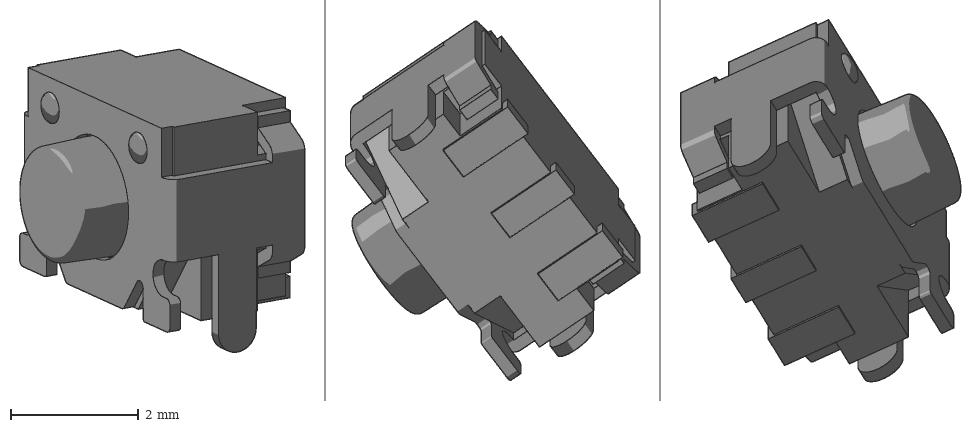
import cadquery as cq
import math


SHEET = 0.2
OVERALL_WIDTH = 4.45
OUTER_X = OVERALL_WIDTH / 2
BLOCK_X = OUTER_X - SHEET
BLOCK_BACK = 2.55
BLOCK_BOTTOM = 0.05
BLOCK_TOP = 3.3

WING_BOTTOM = 1.15
WING_TOP = 2.5
BEND_RADIUS = 0.999 * SHEET
PLATE_SHOULDER = 0.05

TAB_BACK = 2.5
TAB_DEPTH = 0.6
TAB_LOW = 1.05
TAB_HIGH = 2.6
TAB_RISE = 0.55
TAB_FACE_X = 1.795
TAB_SLOPE = math.radians(30)

POCKET_X = 1.575
POCKET_DEPTH = 0.8

LEG_WIDTH = 0.7
LEG_CENTRE_Y = 1.25
LEG_BOTTOM = -0.5

FOOT_INNER_X = 1.43
FOOT_TOP = 0.55
FOOT_FILLET = 0.1
FOOT_INNER_FILLET = 0.05
NOTCH_RADIUS = 0.1
NOTCH_TOP = 0.64
NOTCH_SLOPE = math.radians(53.6)
NOTCH_BOTTOM_FILLET = 0.1
UNDERCUT_BACK = 0.7

PAD_X_RANGES = [(-1.55, -1.0), (-0.25, 0.25), (1.0, 1.55)]
PAD_BACK = 2.65
PAD_TOP = 0.35
PAD_FRONT = 1.4

BUTTON_Z = (BLOCK_BOTTOM + BLOCK_TOP) / 2
BUTTON_HOLE_RADIUS = 1.0
BUTTON_BASE_RADIUS = 0.965
BUTTON_TIP_RADIUS = 0.93
BUTTON_REACH = 0.85
BUTTON_FILLET = 0.1

STUD_X = 1.3
STUD_Z = 2.81
STUD_RADIUS = 0.25
STUD_HEIGHT = 0.1


def block(x0, x1, y0, y1, z0, z1):
    return cq.Workplane("XY").box(x1 - x0, y1 - y0, z1 - z0, centered=False).translate((x0, y0, z0))


def xz_sketch(y):
    """XZ plane at the given Y. Its normal is -Y, so a negative extrusion runs toward +Y."""
    return cq.Workplane("XZ", origin=(0, y, 0))


def both_sides(left_half):
    return left_half.union(left_half.mirror("YZ"))


NOTCH_CENTRE_X = -FOOT_INNER_X + NOTCH_RADIUS
NOTCH_CENTRE_Z = NOTCH_TOP - NOTCH_RADIUS
NOTCH_NORMAL = (math.sin(NOTCH_SLOPE), math.cos(NOTCH_SLOPE))


def slope_x(start_x, start_z, z):
    """X at height z on a line through the start point at the notch slope."""
    return start_x + (start_z - z) / math.tan(NOTCH_SLOPE)


def notch_cut():
    """Slanted opening beside the left foot, rounded at the top."""
    arc_end = (
        NOTCH_CENTRE_X + NOTCH_RADIUS * NOTCH_NORMAL[0],
        NOTCH_CENTRE_Z + NOTCH_RADIUS * NOTCH_NORMAL[1],
    )
    return (
        xz_sketch(0)
        .moveTo(-FOOT_INNER_X, 0)
        .lineTo(-FOOT_INNER_X, NOTCH_CENTRE_Z)
        .threePointArc((NOTCH_CENTRE_X, NOTCH_TOP), arc_end)
        .lineTo(slope_x(*arc_end, 0), 0)
        .close()
        .extrude(-SHEET)
    )


def relief_cut():
    """Half-round relief between the left wing and the left foot."""
    radius = (WING_BOTTOM - FOOT_TOP) / 2
    return xz_sketch(0).center(-BLOCK_X, FOOT_TOP + radius).circle(radius).extrude(-SHEET)


def foot():
    """Left foot of the front plate."""
    return (
        block(-OUTER_X, -FOOT_INNER_X, 0, SHEET, 0, FOOT_TOP)
        .edges("|Y and <X")
        .fillet(FOOT_FILLET)
        .edges("|Y and >X and <Z")
        .fillet(FOOT_INNER_FILLET)
    )


def front_plate():
    shoulder_x = BLOCK_X - PLATE_SHOULDER
    panel = block(-BLOCK_X, BLOCK_X, 0, SHEET, BLOCK_BOTTOM, WING_TOP)
    panel = panel.cut(both_sides(notch_cut()))
    tongue_corners = cq.selectors.BoxSelector(
        (NOTCH_CENTRE_X, 0, 0), (-NOTCH_CENTRE_X, SHEET, 2 * BLOCK_BOTTOM)
    )
    panel = panel.edges("|Y").edges(tongue_corners).fillet(NOTCH_BOTTOM_FILLET)
    upper = block(-shoulder_x, shoulder_x, 0, SHEET, WING_TOP, BLOCK_TOP)
    return panel.union(upper).union(both_sides(foot())).cut(both_sides(relief_cut()))


def tab():
    """Upper left tab: bends inward off the wing, slopes up and ends in an upright lip."""
    bend_angle = math.pi / 2 - TAB_SLOPE

    def on_bend(angle):
        return -BLOCK_X - SHEET * math.cos(angle), TAB_HIGH + SHEET * math.sin(angle)

    bend_end = on_bend(bend_angle)
    lip_inner_x = TAB_FACE_X - SHEET
    outer_corner_z = bend_end[1] + (-TAB_FACE_X - bend_end[0]) * math.tan(TAB_SLOPE)
    inner_corner_z = TAB_HIGH + (BLOCK_X - lip_inner_x) * math.tan(TAB_SLOPE)
    return (
        xz_sketch(TAB_BACK - TAB_DEPTH)
        .moveTo(-OUTER_X, TAB_HIGH)
        .threePointArc(on_bend(bend_angle / 2), bend_end)
        .lineTo(-TAB_FACE_X, outer_corner_z)
        .lineTo(-TAB_FACE_X, TAB_HIGH + TAB_RISE)
        .lineTo(-lip_inner_x, TAB_HIGH + TAB_RISE)
        .lineTo(-lip_inner_x, inner_corner_z)
        .lineTo(-BLOCK_X, TAB_HIGH)
        .close()
        .extrude(-TAB_DEPTH)
    )


def wing():
    """Left wing with its bend, two tabs and mounting leg."""
    tab_front = TAB_BACK - TAB_DEPTH
    leg_radius = LEG_WIDTH / 2
    plate = block(-OUTER_X, -BLOCK_X, 0, tab_front, WING_BOTTOM, WING_TOP)
    plate = plate.edges("|Z and <X and <Y").fillet(BEND_RADIUS)
    rear = block(-OUTER_X, -BLOCK_X, tab_front, TAB_BACK, TAB_LOW, TAB_HIGH)
    upper_tab = tab()
    lower_tab = upper_tab.mirror("XY", (0, 0, (TAB_LOW + TAB_HIGH) / 2))
    leg = (
        cq.Workplane("YZ", origin=(-OUTER_X, 0, 0))
        .moveTo(LEG_CENTRE_Y - leg_radius, WING_BOTTOM)
        .lineTo(LEG_CENTRE_Y - leg_radius, LEG_BOTTOM + leg_radius)
        .threePointArc((LEG_CENTRE_Y, LEG_BOTTOM), (LEG_CENTRE_Y + leg_radius, LEG_BOTTOM + leg_radius))
        .lineTo(LEG_CENTRE_Y + leg_radius, WING_BOTTOM)
        .close()
        .extrude(SHEET)
    )
    return plate.union(rear).union(upper_tab).union(lower_tab).union(leg)


def tab_pockets():
    """Rear left block corners, open above and below, where the tabs sit."""
    pocket_front = BLOCK_BACK - POCKET_DEPTH
    upper = block(-BLOCK_X, -POCKET_X, pocket_front, BLOCK_BACK, TAB_HIGH, BLOCK_TOP)
    lower = block(-BLOCK_X, -POCKET_X, pocket_front, BLOCK_BACK, BLOCK_BOTTOM, TAB_LOW)
    return upper.union(lower)


def undercut():
    """Slanted cut under the front left of the block, parallel to the notch edge."""
    low_x = slope_x(NOTCH_CENTRE_X, NOTCH_CENTRE_Z, BLOCK_BOTTOM)
    side_z = BLOCK_BOTTOM + (low_x + BLOCK_X) * math.tan(NOTCH_SLOPE)
    corners = [(low_x, BLOCK_BOTTOM), (-BLOCK_X, side_z), (-BLOCK_X, BLOCK_BOTTOM)]
    return xz_sketch(SHEET).polyline(corners).close().extrude(SHEET - UNDERCUT_BACK)


def pad(x_range):
    """L-shaped pad wrapping the lower rear edge of the block."""
    behind = block(*x_range, BLOCK_BACK, PAD_BACK, 0, PAD_TOP)
    below = block(*x_range, PAD_FRONT, BLOCK_BACK, 0, BLOCK_BOTTOM)
    return behind.union(below)


def button_hole():
    """Round hole through the front plate, stopping at the block behind it."""
    return xz_sketch(0).center(0, BUTTON_Z).circle(BUTTON_HOLE_RADIUS).extrude(-SHEET)


def make_housing():
    body = block(-BLOCK_X, BLOCK_X, SHEET, BLOCK_BACK, BLOCK_BOTTOM, BLOCK_TOP)
    body = body.cut(both_sides(tab_pockets())).cut(both_sides(undercut()))
    body = body.union(front_plate()).union(wing()).union(wing().mirror("YZ"))
    for x_range in PAD_X_RANGES:
        body = body.union(pad(x_range))
    return body.cut(button_hole()).clean()


def make_button():
    """Tapered round button standing on the floor of its hole."""
    return (
        cq.Workplane("XY")
        .moveTo(0, SHEET)
        .lineTo(BUTTON_BASE_RADIUS, SHEET)
        .lineTo(BUTTON_TIP_RADIUS, -BUTTON_REACH)
        .lineTo(0, -BUTTON_REACH)
        .close()
        .revolve(360, (0, 0), (0, 1))
        .faces("<Y")
        .edges()
        .fillet(BUTTON_FILLET)
        .translate((0, 0, BUTTON_Z))
    )


def make_stud(x):
    """Half-ellipsoid stud seated on the front plate."""
    return (
        cq.Workplane("XY")
        .ellipseArc(STUD_RADIUS, STUD_HEIGHT, 270, 360, startAtCurrent=False)
        .lineTo(0, 0)
        .close()
        .revolve(360, (0, 0), (0, 1))
        .translate((x, 0, STUD_Z))
    )


housing = make_housing()
button = make_button()
studs = [make_stud(x).val() for x in (-STUD_X, STUD_X)]

result = cq.Compound.makeCompound([housing.val(), button.val(), *studs])